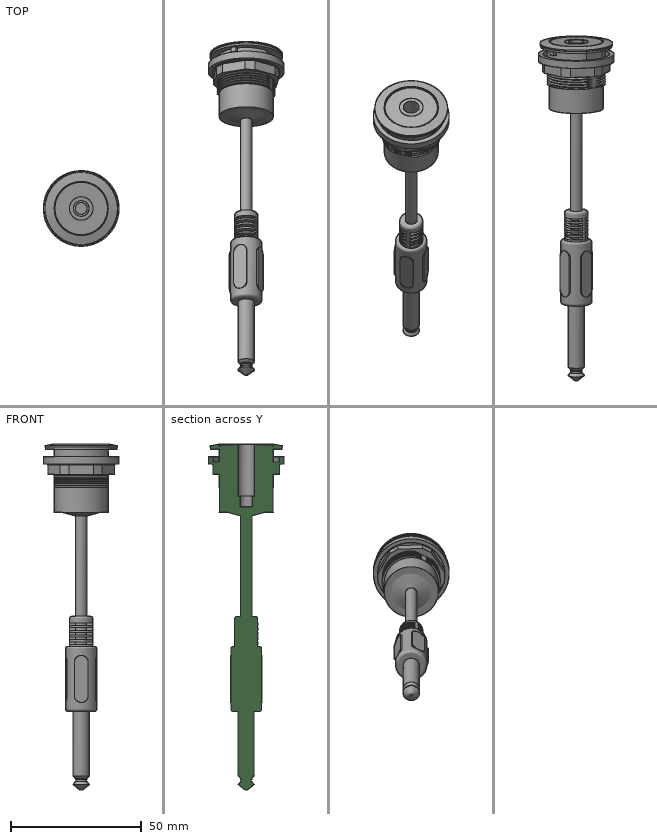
import cadquery as cq
import math

overall_length = 132.5

flange_dia = 27.9
flange_step_dia = 27.4
flange_rim_depth = 0.75
flange_step_depth = 1.3
flange_bottom = 2.1
face_recess_dia = 20.7
face_recess_depth = 0.8
face_disc_dia = 20.05
face_disc_depth = 0.3
bushing_dia = 9.0
bushing_top = 0.15
socket_dia = 6.0
socket_depth = 20.0
socket_end_dia = 4.5
socket_end_depth = 4.0

thread_dia = 22.2
thread_root_dia = 20.8
thread_pitch = 1.0
thread_top = 11.7
thread_bottom = 16.7
body_dia = 20.7
body_bottom = 26.2
cone_dia = 15.0
cone_bottom = 27.65

key_reach = 12.5
key_width = 2.0
key_bottom = 3.9

washer_dia = 29.0
washer_top = 4.95
washer_bottom = 7.75
washer_recess_dia = 25.35
washer_recess_depth = 2.0
nut_collar_dia = 26.0
nut_collar_bottom = 8.1
nut_across_flats = 24.0
nut_across_corners = 25.5
nut_sides = 6

cable_dia = 4.5
relief_dia = 9.0
relief_top = 65.95
relief_rounding = 1.0
slot_count = 5
slot_pitch = 1.8
slot_height = 1.0
first_slot_depth = 69.05
slot_web = 1.6

sleeve_dia = 12.0
sleeve_top = 77.45
sleeve_bottom = 102.45
sleeve_rounding = 1.0
pad_count = 4
pad_width = 5.3
pad_length = 18.0
pad_mid_depth = (sleeve_top + sleeve_bottom) / 2

contact_dia = 6.3
contact_bottom = 127.0
collar_dia = 4.5
collar_top = 128.0
collar_bottom = 128.45
neck_dia = 4.0
neck_bottom = 129.25
tip_shoulder = 130.35
tip_end_dia = 1.0


def cylinder(dia, top, bottom):
    """Solid cylinder on the Z axis between two depths."""
    return cq.Workplane("XY").workplane(offset=-bottom).circle(dia / 2).extrude(bottom - top)


def revolved(points):
    """Solid of revolution about Z from (diameter, depth) points, closed along the axis."""
    outline = [(dia / 2, -depth) for dia, depth in points]
    closed = [(0, outline[0][1])] + outline + [(0, outline[-1][1])]
    return cq.Workplane("XZ").polyline(closed).close().revolve(360, (0, 0), (0, 1))


def make_flange():
    """Stepped flange with a conical rim, a face disc set in a groove and a raised bushing."""
    flange = revolved([
        (face_recess_dia, 0),
        (flange_dia, flange_rim_depth),
        (flange_dia, flange_step_depth),
        (flange_step_dia, flange_step_depth),
        (flange_step_dia, flange_bottom),
    ])
    flange = flange.cut(cylinder(face_recess_dia, 0, face_recess_depth))
    flange = flange.union(cylinder(face_disc_dia, face_disc_depth, flange_bottom))
    return flange.union(cylinder(bushing_dia, bushing_top, flange_bottom))


def make_threaded_barrel():
    """Barrel with ring-shaped thread grooves and two flats facing along X, tangent to the body."""
    points = [(thread_dia, flange_step_depth)]
    turns = round((thread_bottom - thread_top) / thread_pitch)
    for turn in range(turns):
        crest = thread_top + turn * thread_pitch
        points.append((thread_dia, crest))
        points.append((thread_root_dia, crest + thread_pitch / 2))
    points.append((thread_dia, thread_bottom))
    flats = cq.Workplane("XY").box(body_dia, 2 * thread_dia, 2 * thread_bottom)
    return revolved(points).intersect(flats)


def make_key():
    """Key projecting from the barrel toward +Y below the flange."""
    return (
        cq.Workplane("XY")
        .workplane(offset=-key_bottom)
        .center(0, key_reach / 2)
        .rect(key_width, key_reach)
        .extrude(key_bottom - flange_step_depth)
    )


def make_washer():
    """Washer whose upper side is recessed around the threaded barrel."""
    recess_bottom = washer_top + washer_recess_depth
    washer = cylinder(washer_dia, washer_top, washer_bottom)
    return washer.cut(cylinder(washer_recess_dia, washer_top, recess_bottom))


def make_nut():
    """Hexagonal nut with cut-off corners and a round collar against the washer."""
    height = thread_top - washer_bottom
    vertex_dia = nut_across_flats / math.cos(math.pi / nut_sides)
    half_turn = 180 / nut_sides
    cut_dia = nut_across_corners / math.cos(math.pi / nut_sides)
    base = cq.Workplane("XY").workplane(offset=-thread_top)
    hexagon = base.polygon(nut_sides, vertex_dia).extrude(height)
    corner_cut = base.transformed(rotate=(0, 0, half_turn)).polygon(nut_sides, cut_dia).extrude(height)
    return hexagon.intersect(corner_cut).union(cylinder(nut_collar_dia, washer_bottom, nut_collar_bottom))


def make_body():
    """Plain cylinder below the thread, tapering to the cable."""
    return revolved([
        (body_dia, thread_bottom),
        (body_dia, body_bottom),
        (cone_dia, body_bottom),
        (cable_dia, cone_bottom),
    ])


def make_strain_relief():
    """Sleeve around the cable, slotted from both Y sides down to the cable and two webs."""
    relief = cylinder(relief_dia, relief_top, sleeve_top).faces(">Z").edges().fillet(relief_rounding)
    side_width = relief_dia / 2
    for index in range(slot_count):
        depth = first_slot_depth + index * slot_pitch
        for side in (-1, 1):
            slot = cq.Workplane("XY").box(2 * relief_dia, side_width, slot_height)
            relief = relief.cut(slot.translate((0, side * (slot_web + side_width) / 2, -depth)))
    return relief


def make_sleeve():
    """Round sleeve carrying four flat obround pads flush with its diameter."""
    sleeve = cylinder(sleeve_dia, sleeve_top, sleeve_bottom).faces("|Z").edges().fillet(sleeve_rounding)
    pad = (
        cq.Workplane("YZ")
        .center(0, -pad_mid_depth)
        .slot2D(pad_length, pad_width, 90)
        .extrude(sleeve_dia / 2)
    )
    for index in range(pad_count):
        sleeve = sleeve.union(pad.rotate((0, 0, 0), (0, 0, 1), index * 360 / pad_count))
    return sleeve


def make_contact():
    """Plug pin with a collar, a neck and a pointed tip."""
    return revolved([
        (contact_dia, sleeve_bottom),
        (contact_dia, contact_bottom),
        (collar_dia, collar_top),
        (collar_dia, collar_bottom),
        (neck_dia, collar_bottom),
        (neck_dia, neck_bottom),
        (collar_dia, neck_bottom),
        (contact_dia, tip_shoulder),
        (tip_end_dia, overall_length),
    ])


def make_socket():
    """Stepped blind bore in the socket face."""
    bore = cylinder(socket_dia, 0, socket_depth)
    return bore.union(cylinder(socket_end_dia, 0, socket_depth + socket_end_depth))

result = (
    make_flange()
    .union(make_threaded_barrel())
    .union(make_key())
    .union(make_washer())
    .union(make_nut())
    .union(make_body())
    .union(cylinder(cable_dia, body_bottom, sleeve_top))
    .union(make_strain_relief())
    .union(make_sleeve())
    .union(make_contact())
    .cut(make_socket())
)